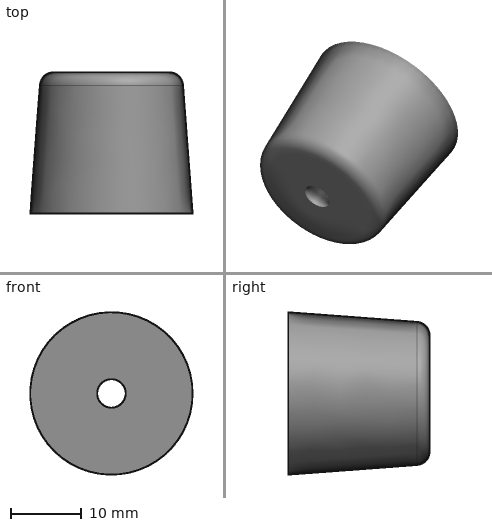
import cadquery as cq

base_diameter = 23.0
tip_diameter = 20.0
length = 20.0
tip_rounding = 2.0
hole_diameter = 4.0

body = (
    cq.Workplane("XY")
    .polyline([
        (0, 0),
        (base_diameter / 2, 0),
        (tip_diameter / 2, length),
        (0, length),
    ])
    .close()
    .revolve(360, (0, 0, 0), (0, 1, 0))
)

body = body.faces(">Y").edges().fillet(tip_rounding)

result = body.faces("<Y").workplane(origin=(0, 0, 0)).hole(hole_diameter)